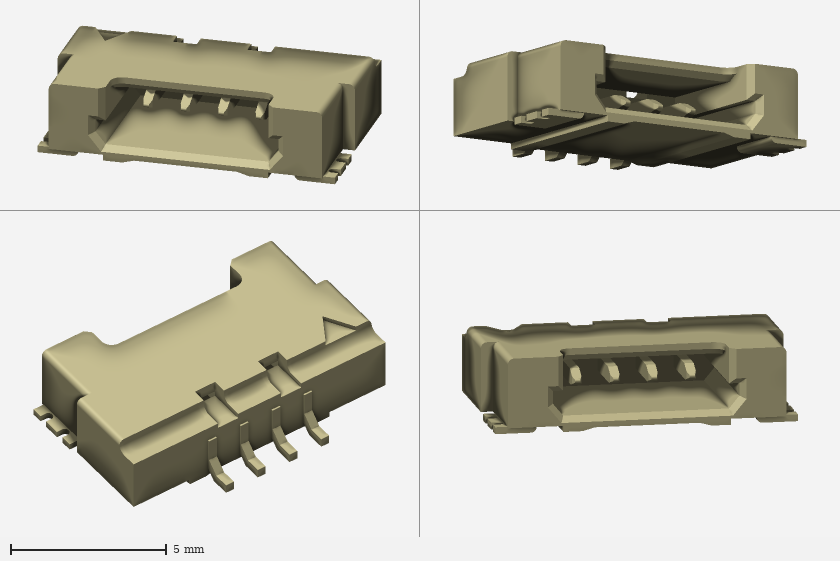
import cadquery as cq
import math


rear_width = 9.95
front_width = 9.15
housing_length = 5.69
shoulder_y = 2.52
housing_top = 2.5
housing_bottom = 0.2
side_round = 0.2

ledge_z = 2.08
ledge_y = 5.19
ledge_round = 0.3

cavity_half_width = 2.73
cavity_side_step = 0.34
cavity_ceiling = ledge_z
cavity_step_z = 1.32
cavity_corner_z = 0.91
cavity_floor = 0.5
cavity_depth = 4.4
mouth_chamfer = 0.2

roof_notch_depth = 1.12
roof_notch_round = 0.4

slot_width = 0.8
slot_centre_x = 1.24
slot_floor = 1.89

mark_centre_x = -3.77
mark_width = 1.23
mark_rear_y = 4.93
mark_length = 1.05
mark_depth = 0.17

foot_half_width = 2.76
foot_recess_half_width = 2.12
foot_recess_slope = 0.4
foot_recess_height = 0.11

pad_height = 0.23
pad_inner_x = 3.61
pad_front_y = 0.1
pad_length = 2.02
pad_end_round = 0.2
pad_notch_width = 0.31
pad_notch_depth = 0.36
pad_notch_round = 0.15
pad_notch_ys = (0.65, 1.56)

contact_count = 4
contact_pitch = 1.25
contact_width = 0.31
contact_top = 1.5
contact_bottom = 0.995
contact_rear_top = 1.55
contact_tip_y = 2.04
contact_end_y = 6.7
contact_thickness = 0.33
contact_proud = 0.06
contact_bend_y = 6.15
nose_z = 1.18
nose_radius = 0.07
nose_lower_run = 0.3
nose_upper_run = 0.5
nose_side_chamfer = 0.07
nose_side_run = 0.2


def box(x0, x1, y0, y1, z0, z1):
    """Axis-aligned box between two opposite corners."""
    return cq.Workplane("XY").box(x1 - x0, y1 - y0, z1 - z0, centered=False).translate((x0, y0, z0))


def make_block(width, y0, y1):
    """Housing block with its two long top edges rounded."""
    block = box(-width / 2, width / 2, y0, y1, housing_bottom, housing_top)
    return block.edges("|Y and >Z").fillet(side_round)


def make_ledge_cut():
    """Material above the rear ledge, with a concave round at its root."""
    ledge_start = ledge_y - ledge_round
    return (
        cq.Workplane("YZ", origin=(-rear_width / 2, 0, 0))
        .moveTo(housing_length, ledge_z)
        .lineTo(ledge_y, ledge_z)
        .radiusArc((ledge_start, ledge_z + ledge_round), ledge_round)
        .lineTo(ledge_start, housing_top)
        .lineTo(housing_length, housing_top)
        .close()
        .extrude(rear_width)
    )


def cavity_outline(offset, top):
    """Cavity section grown outward by offset, reaching up to top."""
    step_x = cavity_half_width + cavity_side_step
    slope = math.atan2(cavity_corner_z - cavity_floor, cavity_side_step)
    corner_drop = offset * math.tan((math.pi / 2 - slope) / 2)
    floor_shift = offset * math.tan(slope / 2)
    right = [
        (cavity_half_width + floor_shift, cavity_floor - offset),
        (step_x + offset, cavity_corner_z - corner_drop),
        (step_x + offset, cavity_step_z + offset),
        (cavity_half_width + offset, cavity_step_z + offset),
        (cavity_half_width + offset, top),
    ]
    left = [(-x, z) for x, z in reversed(right)]
    return right + left


def make_cavity():
    """Blind mating cavity with a flared mouth that is open through the roof."""
    pocket = (
        cq.Workplane("XZ")
        .polyline(cavity_outline(0, cavity_ceiling))
        .close()
        .extrude(-cavity_depth)
    )
    mouth = (
        cq.Workplane("XZ")
        .polyline(cavity_outline(mouth_chamfer, housing_top))
        .close()
        .workplane(offset=-mouth_chamfer)
        .polyline(cavity_outline(0, housing_top))
        .close()
        .loft(ruled=True)
    )
    return pocket.union(mouth)


def make_roof_notch():
    """Round-cornered roof opening whose lower rim flares out to the cavity ceiling."""
    rim_z = cavity_ceiling + mouth_chamfer
    notch = box(
        -cavity_half_width, cavity_half_width, 0, roof_notch_depth, cavity_ceiling, housing_top
    ).edges("|Z and >Y").fillet(roof_notch_round)
    outline = notch.faces(">Z").wires().val().translate(cq.Vector(0, 0, rim_z - housing_top))
    flare = cq.Workplane("XY").add(outline).toPending().extrude(-mouth_chamfer, taper=-45)
    inside = box(
        -cavity_half_width, cavity_half_width, 0, cavity_depth, cavity_ceiling, rim_z
    )
    return notch.union(flare.intersect(inside))


def make_slot(centre_x):
    """Latch slot from the roof into the rear wall."""
    return box(
        centre_x - slot_width / 2, centre_x + slot_width / 2,
        cavity_depth, housing_length, slot_floor, housing_top,
    )


def make_mark():
    """Shallow triangular recess pointing at the mating face."""
    return (
        cq.Workplane("XY", origin=(mark_centre_x, mark_rear_y, housing_top))
        .polyline([(-mark_width / 2, 0), (mark_width / 2, 0), (0, -mark_length)])
        .close()
        .extrude(-mark_depth)
    )


def make_foot():
    """Central foot with a shallow sloped recess along its underside."""
    recess_flat = foot_recess_half_width - foot_recess_slope
    return (
        cq.Workplane("XZ")
        .polyline([
            (-foot_half_width, housing_bottom),
            (-foot_half_width, 0),
            (-foot_recess_half_width, 0),
            (-recess_flat, foot_recess_height),
            (recess_flat, foot_recess_height),
            (foot_recess_half_width, 0),
            (foot_half_width, 0),
            (foot_half_width, housing_bottom),
        ])
        .close()
        .extrude(-housing_length)
    )


def make_left_pad():
    """Side solder pad with a rounded inner end and notches with rounded roots."""
    outer_x = rear_width / 2
    pad = box(-outer_x, -pad_inner_x, pad_front_y, pad_front_y + pad_length, 0, pad_height)
    pad = pad.edges("|Y and >X and <Z").fillet(pad_end_round)
    half_notch = pad_notch_width / 2
    for notch_y in pad_notch_ys:
        notch = box(
            -outer_x, -outer_x + pad_notch_depth, notch_y - half_notch, notch_y + half_notch, 0, pad_height
        )
        pad = pad.cut(notch.edges("|Z and >X").fillet(pad_notch_round))
    return pad


def make_contact(centre_x):
    """Bent contact: blade in the cavity, drop down the rear wall, sloped run and solder tail."""
    outer_y = housing_length + contact_proud
    inner_y = outer_y - contact_thickness
    nose_y = contact_tip_y + nose_radius
    slope_top_z = contact_thickness + contact_bend_y - outer_y
    bend_shift = contact_thickness * math.tan(math.pi / 8)
    lower_bend_y = contact_bend_y - bend_shift
    bent_strip = (
        cq.Workplane("YZ", origin=(centre_x - contact_width / 2, 0, 0))
        .moveTo(nose_y + nose_lower_run, contact_bottom)
        .lineTo(nose_y, nose_z - nose_radius)
        .threePointArc((contact_tip_y, nose_z), (nose_y, nose_z + nose_radius))
        .lineTo(nose_y + nose_upper_run, contact_top)
        .lineTo(inner_y, contact_top)
        .lineTo(inner_y, contact_rear_top)
        .lineTo(outer_y, contact_rear_top)
        .lineTo(outer_y, slope_top_z)
        .lineTo(contact_bend_y, contact_thickness)
        .lineTo(contact_end_y, contact_thickness)
        .lineTo(contact_end_y, 0)
        .lineTo(lower_bend_y, 0)
        .lineTo(inner_y, lower_bend_y - inner_y)
        .lineTo(inner_y, contact_bottom)
        .close()
        .extrude(contact_width)
    )
    half_width = contact_width / 2
    tip_half_width = half_width - nose_side_chamfer
    shoulder = contact_tip_y + nose_side_run
    plan = (
        cq.Workplane("XY", origin=(centre_x, 0, 0))
        .polyline([
            (-tip_half_width, contact_tip_y),
            (tip_half_width, contact_tip_y),
            (half_width, shoulder),
            (half_width, contact_end_y),
            (-half_width, contact_end_y),
            (-half_width, shoulder),
        ])
        .close()
        .extrude(contact_rear_top)
    )
    return bent_strip.intersect(plan)


housing = make_block(rear_width, shoulder_y, housing_length)
housing = housing.union(make_block(front_width, 0, housing_length))
housing = housing.cut(make_ledge_cut())
housing = housing.union(make_foot())
housing = housing.cut(make_cavity()).cut(make_roof_notch()).cut(make_mark())
for side in (-1, 1):
    housing = housing.cut(make_slot(side * slot_centre_x))

left_pad = make_left_pad()
result = housing.union(left_pad).union(left_pad.mirror("YZ"))
for index in range(contact_count):
    contact_x = (index - (contact_count - 1) / 2) * contact_pitch
    result = result.union(make_contact(contact_x))